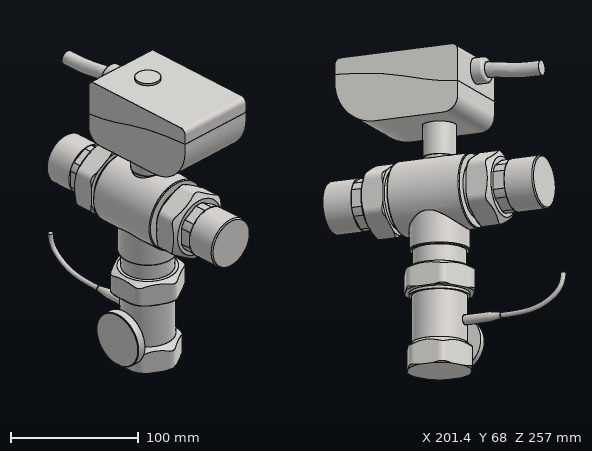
import cadquery as cq
import math


HOUSING_LEFT = -31.5
HOUSING_RIGHT = 74.8
HOUSING_BOTTOM = 56.5
HOUSING_TOP = 111.5
HOUSING_WIDTH = 68.0
TOP_EDGE_RADIUS = 5.1
LEFT_EDGE_RADIUS = 12.0
NOSE_RADIUS = 35.0
PART_LINE_LEFT_Z = 81.0
PART_LINE_RIGHT_Z = 98.5
PART_LINE_MIDDLE_X = 21.5
PART_LINE_MIDDLE_Z = 91.7
PART_LINE_END_SLOPE = 0.05
SCREW_RADIUS = 10.3
SCREW_HEIGHT = 1.93
STEM_RADIUS = 13.4

GLAND_RADIUS = 10.5
GLAND_LENGTH = 10.3
GLAND_ROUND = 2.3
GLAND_Z = 97.1
CABLE_RADIUS = 6.2
CABLE_END_X = -88.7
CABLE_BEND_X = -72.0
CABLE_END_Z = 93.0
CABLE_BEND_Z = 93.3
CABLE_ENTRY_SLOPE = 0.1

VALVE_RADIUS = 30.0
VALVE_LENGTH = 62.7
VALVE_CENTER_X = 0.5
VALVE_EDGE_CHAMFER = 0.8
NECK_RADIUS = 12.5
OUTLET_RADIUS = 24.0
OUTLET_BOTTOM = -45.7
OUTLET_CHAMFER = 0.8
SPIGOT_RADIUS = 21.3
SPIGOT_BOTTOM = -60.0

NUT_WIDTH = 54.0
NUT_HEIGHT = 20.3
NUT_CORNER_RADIUS = 7.0
NUT_TOP_RADIUS = 24.2
NUT_TOP_BEVEL = 4.0
NUT_BASE_RADIUS = 28.0
NUT_BASE_BEVEL = 1.5

COLLAR_RADIUS = 22.4
COLLAR_LENGTH = 4.5
COLLAR_FLARE = 1.8
TAIL_HEX_WIDTH = 39.5
TAIL_HEX_LENGTH = 10.0
TAIL_HEX_CORNER_REACH = 21.0
TAIL_RADIUS = 21.3
TAIL_LENGTH = 25.2
TAIL_CHAMFER = 1.0

RING_RADIUS = 24.0
RING_HEIGHT = 2.3
TUBE_RADIUS = 22.0
FOOT_TOP = -121.3
FOOT_BOTTOM = HOUSING_TOP + SCREW_HEIGHT - 257.0
FOOT_WIDTH = 50.0
FOOT_CORNER_RADIUS = 7.5
FOOT_TOP_BEVEL = 6.0
FOOT_BASE_RADIUS = 25.7
FOOT_BASE_BEVEL = 1.5
WHEEL_RADIUS = 23.1
WHEEL_THICKNESS = 7.5
WHEEL_CHAMFER = 0.5
WHEEL_Z = -113.5
WHEEL_FACE_Y = -HOUSING_WIDTH / 2
WHEEL_STEM_RADIUS = 8.0

PROBE_Z = -104.3
PROBE_RADIUS = 4.0
PROBE_SLEEVE_END_X = -43.7
PROBE_CONE_END_X = -51.7
PROBE_CONE_END_RADIUS = 2.8
PROBE_TIP_X = -53.7
LEAD_RADIUS = 2.3
LEAD_BEND_X = -96.0
LEAD_BEND_Z = -95.5
LEAD_END_X = -107.2
LEAD_END_Z = -76.0


def cylinder_z(radius, bottom, top):
    return cq.Workplane("XY").workplane(offset=bottom).circle(radius).extrude(top - bottom)


def cylinder_x(radius, left, right, z=0.0):
    return cq.Workplane("YZ", origin=(left, 0, z)).circle(radius).extrude(right - left)


def hex_prism(width, height):
    """Hexagonal bar on the XY plane, with corners on the X axis."""
    across_corners = width / math.cos(math.radians(30))
    return cq.Workplane("XY").polygon(6, across_corners).extrude(height)


def beveled_hex(width, corner_radius, height, top_radius, top_bevel, base_radius, base_bevel):
    """Hexagon with rounded corners, turned to a cone at its top and a narrow bevel at its base."""
    reach = width / math.sqrt(3)
    turned_profile = [
        (0, 0),
        (base_radius, 0),
        (reach, base_bevel),
        (reach, height - top_bevel),
        (top_radius, height),
        (0, height),
    ]
    turned = cq.Workplane("XZ").polyline(turned_profile).close().revolve(360, (0, 0, 0), (0, 1, 0))
    return hex_prism(width, height).edges("|Z").fillet(corner_radius).intersect(turned)


def union_nut():
    return beveled_hex(
        NUT_WIDTH, NUT_CORNER_RADIUS, NUT_HEIGHT,
        NUT_TOP_RADIUS, NUT_TOP_BEVEL, NUT_BASE_RADIUS, NUT_BASE_BEVEL,
    )


def housing_block():
    block = (
        cq.Workplane("XZ", origin=(0, HOUSING_WIDTH / 2, 0))
        .moveTo(HOUSING_LEFT, HOUSING_BOTTOM)
        .lineTo(HOUSING_RIGHT, HOUSING_BOTTOM)
        .lineTo(HOUSING_RIGHT, HOUSING_TOP)
        .lineTo(HOUSING_LEFT, HOUSING_TOP)
        .close()
        .extrude(HOUSING_WIDTH)
    )
    block = block.edges("|Y and >Z").fillet(TOP_EDGE_RADIUS)
    block = block.edges("|Y and <Z and <X").fillet(LEFT_EDGE_RADIUS)
    return block.edges("|Y and <Z and >X").fillet(NOSE_RADIUS)


def below_part_line():
    """Everything under the S-shaped line where the housing cover meets its base."""
    return (
        cq.Workplane("XZ", origin=(0, HOUSING_WIDTH / 2, 0))
        .moveTo(HOUSING_LEFT, PART_LINE_LEFT_Z)
        .spline(
            [(PART_LINE_MIDDLE_X, PART_LINE_MIDDLE_Z), (HOUSING_RIGHT, PART_LINE_RIGHT_Z)],
            tangents=[(1, PART_LINE_END_SLOPE), (1, PART_LINE_END_SLOPE)],
            includeCurrent=True,
        )
        .lineTo(HOUSING_RIGHT, HOUSING_BOTTOM)
        .lineTo(HOUSING_LEFT, HOUSING_BOTTOM)
        .close()
        .extrude(HOUSING_WIDTH)
    )


def actuator_cable():
    gland_end_x = HOUSING_LEFT - GLAND_LENGTH
    gland = cylinder_x(GLAND_RADIUS, gland_end_x, HOUSING_LEFT, GLAND_Z)
    gland = gland.faces("<X").edges().fillet(GLAND_ROUND)
    path = (
        cq.Workplane("XZ")
        .moveTo(CABLE_END_X, CABLE_END_Z)
        .spline(
            [(CABLE_BEND_X, CABLE_BEND_Z), (gland_end_x, GLAND_Z)],
            tangents=[(1, 0), (1, CABLE_ENTRY_SLOPE)],
            includeCurrent=True,
        )
        .lineTo(HOUSING_LEFT, GLAND_Z + CABLE_ENTRY_SLOPE * GLAND_LENGTH)
    )
    cable = cq.Workplane("YZ", origin=(CABLE_END_X, 0, CABLE_END_Z)).circle(CABLE_RADIUS).sweep(path)
    return gland.union(cable)


def actuator_cover():
    cover = housing_block().cut(below_part_line())
    screw = cylinder_z(SCREW_RADIUS, HOUSING_TOP, HOUSING_TOP + SCREW_HEIGHT)
    return cover.union(screw)


def actuator_base():
    base = housing_block().intersect(below_part_line())
    return base.union(cylinder_z(STEM_RADIUS, VALVE_RADIUS, HOUSING_BOTTOM))


def valve_body():
    left = VALVE_CENTER_X - VALVE_LENGTH / 2
    body = cylinder_x(VALVE_RADIUS, left, left + VALVE_LENGTH)
    body = body.faces("<X or >X").edges().chamfer(VALVE_EDGE_CHAMFER)
    neck = cylinder_z(NECK_RADIUS, 0, VALVE_RADIUS)
    outlet = cylinder_z(OUTLET_RADIUS, OUTLET_BOTTOM, 0)
    outlet = outlet.faces("<Z").edges().chamfer(OUTLET_CHAMFER)
    spigot = cylinder_z(SPIGOT_RADIUS, SPIGOT_BOTTOM, 0)
    return body.union(neck).union(outlet).union(spigot)


def coupling(side):
    """Nut and threaded tail; side is -1 for the left end of the valve, +1 for the right."""
    nut_top = COLLAR_LENGTH + NUT_HEIGHT
    tail_start = nut_top + TAIL_HEX_LENGTH
    tail_end = tail_start + TAIL_LENGTH
    collar_profile = [
        (0, 0),
        (COLLAR_RADIUS, 0),
        (COLLAR_RADIUS, COLLAR_LENGTH - COLLAR_FLARE),
        (COLLAR_RADIUS + COLLAR_FLARE, COLLAR_LENGTH),
        (0, COLLAR_LENGTH),
    ]
    collar = cq.Workplane("XZ").polyline(collar_profile).close().revolve(360, (0, 0, 0), (0, 1, 0))
    nut = union_nut().translate((0, 0, COLLAR_LENGTH))
    tail_hex = hex_prism(TAIL_HEX_WIDTH, TAIL_HEX_LENGTH)
    tail_hex = tail_hex.intersect(cylinder_z(TAIL_HEX_CORNER_REACH, 0, TAIL_HEX_LENGTH))
    tail_hex = tail_hex.translate((0, 0, nut_top))
    tail = cylinder_z(TAIL_RADIUS, tail_start, tail_end).faces(">Z").edges().chamfer(TAIL_CHAMFER)
    upright = collar.union(nut).union(tail_hex).union(tail)
    sideways = upright.rotate((0, 0, 0), (0, 1, 0), side * 90)
    return sideways.translate((VALVE_CENTER_X + side * VALVE_LENGTH / 2, 0, 0))


def hand_wheel():
    wheel = (
        cq.Workplane("XZ", origin=(0, WHEEL_FACE_Y + WHEEL_THICKNESS, WHEEL_Z))
        .circle(WHEEL_RADIUS)
        .extrude(WHEEL_THICKNESS)
        .faces("<Y")
        .edges()
        .chamfer(WHEEL_CHAMFER)
    )
    stem = cq.Workplane("XZ", origin=(0, 0, WHEEL_Z)).circle(WHEEL_STEM_RADIUS)
    return wheel.union(stem.extrude(-WHEEL_FACE_Y - WHEEL_THICKNESS))


def probe():
    turned_profile = [
        (0, 0),
        (0, PROBE_RADIUS),
        (PROBE_SLEEVE_END_X, PROBE_RADIUS),
        (PROBE_CONE_END_X, PROBE_CONE_END_RADIUS),
        (PROBE_TIP_X, PROBE_CONE_END_RADIUS),
        (PROBE_TIP_X, 0),
    ]
    sleeve = (
        cq.Workplane("XZ", origin=(0, 0, PROBE_Z))
        .polyline(turned_profile)
        .close()
        .revolve(360, (0, 0, 0), (1, 0, 0))
    )
    path = (
        cq.Workplane("XZ")
        .moveTo(PROBE_TIP_X, PROBE_Z)
        .spline(
            [(LEAD_BEND_X, LEAD_BEND_Z), (LEAD_END_X, LEAD_END_Z)],
            tangents=[(-1, 0), (0, 1)],
            includeCurrent=True,
        )
    )
    lead = cq.Workplane("YZ", origin=(PROBE_TIP_X, 0, PROBE_Z)).circle(LEAD_RADIUS).sweep(path)
    return sleeve.union(lead)


def lower_fitting():
    nut_bottom = SPIGOT_BOTTOM - NUT_HEIGHT
    nut = union_nut().translate((0, 0, nut_bottom))
    ring = cylinder_z(RING_RADIUS, nut_bottom - RING_HEIGHT, nut_bottom)
    tube = cylinder_z(TUBE_RADIUS, FOOT_TOP, nut_bottom)
    foot = beveled_hex(
        FOOT_WIDTH, FOOT_CORNER_RADIUS, FOOT_TOP - FOOT_BOTTOM,
        TUBE_RADIUS, FOOT_TOP_BEVEL, FOOT_BASE_RADIUS, FOOT_BASE_BEVEL,
    ).translate((0, 0, FOOT_BOTTOM))
    body = nut.union(ring).union(tube).union(foot)
    return body.union(hand_wheel()).union(probe())


cover = actuator_cover().union(actuator_cable())
base = actuator_base()
valve = valve_body()
couplings = [coupling(side) for side in (-1, 1)]
fitting = lower_fitting()

result = cq.Compound.makeCompound(
    [cover.val(), base.val(), valve.val(), *[item.val() for item in couplings], fitting.val()]
)